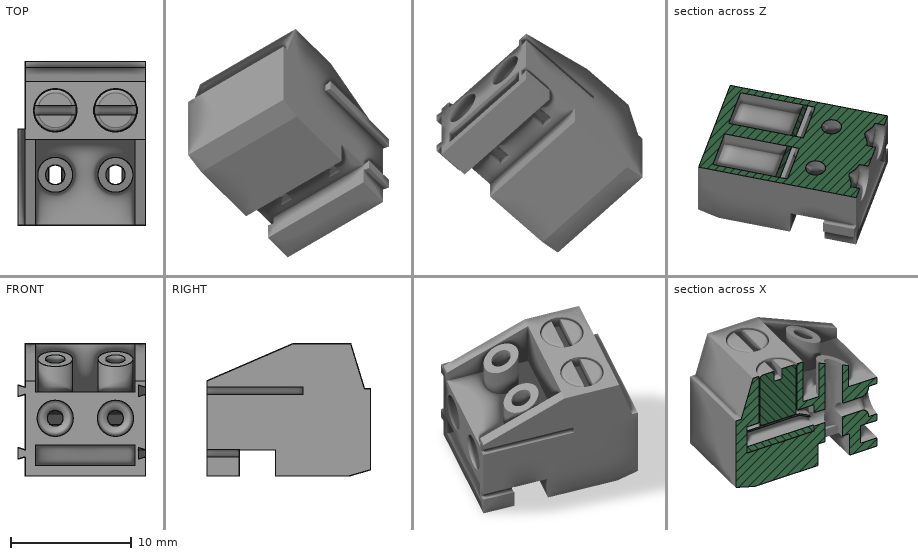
import cadquery as cq
import math


body_width = 10.0
body_depth = 13.6
body_height = 11.0
front_height = 7.92
slope_end_y = 7.14
top_back_y = 11.95
shelf_front_y = 13.1
shelf_height = 7.26
back_bottom_z = 0.52
bevel_front_y = 11.8
notch_front_y = 2.7
notch_back_y = 5.68
notch_height = 2.16

pole_pitch = 5.0
pole_xs = [(body_width - pole_pitch) / 2, (body_width + pole_pitch) / 2]

side_wall = 0.87
inner_width = body_width - 2 * side_wall
recess_floor_z = 6.98
pocket_bottom_z = 0.87
pocket_height = 1.73
pocket_depth = 1.6

dovetail_depth = 0.6
dovetail_wide = 0.98
dovetail_narrow = 0.6
dovetails = [(7.09, 8.0), (1.89, notch_front_y)]

tube_y = 4.19
tube_diameter = 2.9
tube_bore = 1.6
tube_bore_bottom_z = 2.99
test_slot_width = 1.07

wire_z = 4.8
entry_diameter = 3.0
entry_depth = 0.8
wire_bore = 1.3
entry_radius = 0.9

chamber_front_y = 6.12
chamber_back_y = 12.51
chamber_width = 3.67
chamber_bottom_z = 3.67
chamber_top_z = 6.25
chamber_depth = chamber_back_y - chamber_front_y

screw_y = 9.55
screw_diameter = 3.5
screw_hole = 3.6
screw_rounding = 0.3
screw_slot_width = 0.76
screw_slot_depth = 1.0

contact_top_z = 4.3
leaf_thickness = 0.19
leaf_tilt = math.radians(27)
leaf_tip_y = 6.39
leaf_tip_z = 5.33
leaf_bend_y = 7.48
leaf_top_z = leaf_tip_z + (leaf_bend_y - leaf_tip_y) * math.tan(leaf_tilt)


def box(x, y, z, width, depth, height):
    """Box given by its corner with the lowest X, Y and Z."""
    return cq.Workplane("XY").box(width, depth, height, centered=False).translate((x, y, z))


def post(x, y, z, diameter, height):
    """Upright cylinder standing on height z."""
    return cq.Workplane("XY").circle(diameter / 2).extrude(height).translate((x, y, z))


def side_extrusion(points, x, width):
    """Prism along X from a (Y, Z) outline."""
    return cq.Workplane("YZ").polyline(points).close().extrude(width).translate((x, 0, 0))


def housing_block():
    return side_extrusion([
        (0, 0),
        (notch_front_y, 0),
        (notch_front_y, notch_height),
        (notch_back_y, notch_height),
        (notch_back_y, 0),
        (bevel_front_y, 0),
        (body_depth, back_bottom_z),
        (body_depth, shelf_height),
        (shelf_front_y, shelf_height),
        (top_back_y, body_height),
        (slope_end_y, body_height),
        (0, front_height),
    ], 0, body_width)


def dovetail(x, z, length):
    """Dovetail bar with its wide side at x and its narrow side at x + dovetail_depth."""
    wide = dovetail_wide / 2
    narrow = dovetail_narrow / 2
    return (
        cq.Workplane("XZ")
        .polyline([(0, -wide), (0, wide), (dovetail_depth, narrow), (dovetail_depth, -narrow)])
        .close()
        .extrude(-length)
        .translate((x, 0, z))
    )


def wire_entry(x):
    """Counterbore whose floor is rounded, steepening inwards up to the edge of the wire bore."""
    outer = entry_diameter / 2
    inner = wire_bore / 2
    throat_angle = math.asin((outer - inner) / entry_radius)

    def rounding_point(angle):
        return (
            outer - entry_radius * math.sin(angle),
            entry_depth + entry_radius * (1 - math.cos(angle)),
        )

    return (
        cq.Workplane("XY")
        .lineTo(outer, 0)
        .lineTo(outer, entry_depth)
        .threePointArc(rounding_point(throat_angle / 2), rounding_point(throat_angle))
        .lineTo(inner, chamber_front_y)
        .lineTo(0, chamber_front_y)
        .close()
        .revolve(360, (0, 0, 0), (0, 1, 0))
        .translate((x, 0, wire_z))
    )


def test_bore(x):
    """Round bore down a test tube, ending in a narrower slot that opens into the notch."""
    bore = post(x, tube_y, tube_bore_bottom_z, tube_bore, body_height - tube_bore_bottom_z)
    slot = box(
        x - test_slot_width / 2, tube_y - tube_bore / 2, 0,
        test_slot_width, tube_bore, tube_bore_bottom_z,
    )
    return bore.union(slot)


def clamping_space(x):
    """Chamber for the leaf and the contact, with the screw hole above it."""
    chamber = box(
        x - chamber_width / 2, chamber_front_y, chamber_bottom_z,
        chamber_width, chamber_depth, chamber_top_z - chamber_bottom_z,
    )
    hole_bottom_z = contact_top_z
    return chamber.union(post(x, screw_y, hole_bottom_z, screw_hole, body_height - hole_bottom_z))


def make_housing():
    block = housing_block()
    recess = box(side_wall, 0, recess_floor_z, inner_width, slope_end_y, body_height - recess_floor_z)
    housing = block.cut(recess)
    for x in pole_xs:
        tube = post(x, tube_y, notch_height, tube_diameter, body_height - notch_height)
        housing = housing.union(tube.intersect(block))
    housing = housing.cut(box(side_wall, 0, pocket_bottom_z, inner_width, pocket_depth, pocket_height))
    for z, length in dovetails:
        housing = housing.union(dovetail(-dovetail_depth, z, length))
        housing = housing.cut(dovetail(body_width - dovetail_depth, z, length))
    for x in pole_xs:
        housing = housing.cut(wire_entry(x)).cut(test_bore(x)).cut(clamping_space(x))
    return housing


def make_screw(x):
    """Slotted screw standing on the leaf, its top flush with the housing top."""
    screw = post(x, screw_y, leaf_top_z, screw_diameter, body_height - leaf_top_z)
    screw = screw.faces(">Z").edges().fillet(screw_rounding)
    slot = box(
        x - screw_diameter / 2, screw_y - screw_slot_width / 2, body_height - screw_slot_depth,
        screw_diameter, screw_slot_width, screw_slot_depth,
    )
    return screw.cut(slot)


def make_leaf(x):
    """Sheet under the screw, flat at the back, its front bent down towards the wire."""
    tip_shift_y = leaf_thickness * math.sin(leaf_tilt)
    tip_drop = leaf_thickness * math.cos(leaf_tilt)
    bend_shift_y = leaf_thickness * math.tan(leaf_tilt / 2)
    return side_extrusion([
        (leaf_tip_y, leaf_tip_z),
        (leaf_bend_y, leaf_top_z),
        (chamber_back_y, leaf_top_z),
        (chamber_back_y, leaf_top_z - leaf_thickness),
        (leaf_bend_y + bend_shift_y, leaf_top_z - leaf_thickness),
        (leaf_tip_y + tip_shift_y, leaf_tip_z - tip_drop),
    ], x - chamber_width / 2, chamber_width)


def make_contact(x):
    """Bar on the chamber floor on which the wire is clamped."""
    return box(
        x - chamber_width / 2, chamber_front_y, chamber_bottom_z,
        chamber_width, chamber_depth, contact_top_z - chamber_bottom_z,
    )


bodies = [make_housing().val()]
for pole_x in pole_xs:
    bodies.append(make_screw(pole_x).val())
    bodies.append(make_leaf(pole_x).val())
    bodies.append(make_contact(pole_x).val())

result = cq.Compound.makeCompound(bodies)